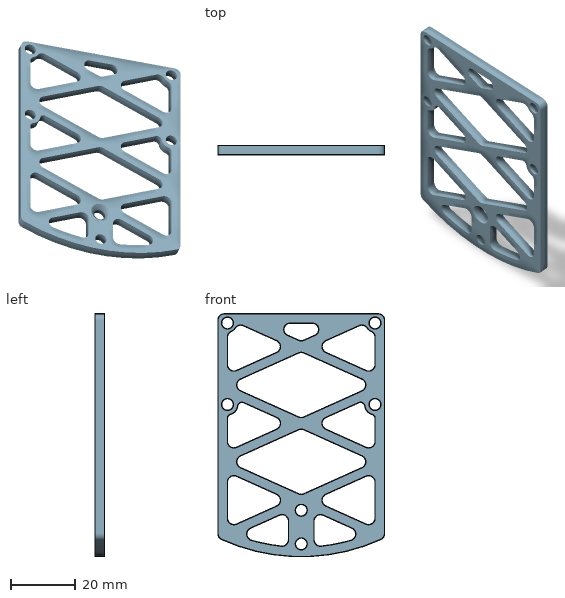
import cadquery as cq
import math

WIDTH = 52.0
HEIGHT = 75.8
THICKNESS = 3.0
BOTTOM_RADIUS = 60.0
CORNER_RADIUS = 2.0

BORDER = 3.0
BAR_WIDTH = 3.0
BAR_SLOPE = 0.45
CROSSING_PITCH = 23.95
FIRST_CROSSING_Z = -10.25
WINDOW_RADIUS = 2.0
SPINE_WIDTH = 8.0
TOP_WINDOW_WIDTH = 10.8
TOP_WINDOW_RADIUS = 1.9

HOLE_DIAMETER = 3.6
SIDE_HOLE_X = 23.0
UPPER_HOLE_Z = -2.9
MIDDLE_HOLE_Z = -28.3
UPPER_SPINE_HOLE_Z = -61.3
LOWER_SPINE_HOLE_Z = -71.8
COUNTERSINK_DIAMETER = 6.3

UPPER_PAD_RADIUS = 2.9
MIDDLE_PAD_RADIUS = 3.25
UPPER_PAD_BLEND = 2.0
MIDDLE_PAD_BLEND = 1.3
EDGE_SEARCH_MARGIN = 0.1

half_width = WIDTH / 2
window_edge_x = half_width - BORDER
half_bar_rise = BAR_WIDTH / 2 * math.hypot(1, BAR_SLOPE)
half_bar_run = half_bar_rise / BAR_SLOPE
crossing_zs = [FIRST_CROSSING_Z - i * CROSSING_PITCH for i in range(3)]
arc_center_z = BOTTOM_RADIUS - HEIGHT


def arc_z(radius, x):
    """Height of the lower arc of the given radius at x."""
    return arc_center_z - math.sqrt(radius**2 - x**2)


def prism(outline):
    """Extrude an XZ outline through the plate thickness."""
    return outline.extrude(THICKNESS / 2, both=True)


def sketch():
    """Start an outline in the mid-plane of the plate."""
    return cq.Workplane("XZ")


def rounded(body, radius=WINDOW_RADIUS):
    """Round all corners that run through the thickness."""
    return body.edges("|Y").fillet(radius)


def cylinder(x, z, radius):
    return prism(sketch().center(x, z).circle(radius))


def plate():
    side_end_z = arc_z(BOTTOM_RADIUS, half_width)
    outline = (
        sketch()
        .moveTo(-half_width, 0)
        .lineTo(half_width, 0)
        .lineTo(half_width, side_end_z)
        .threePointArc((0, -HEIGHT), (-half_width, side_end_z))
        .close()
    )
    return rounded(prism(outline), CORNER_RADIUS)


def diamond_window(upper_z, lower_z):
    """Diamond between two neighbouring bar crossings."""
    half_height = (upper_z - lower_z) / 2 - half_bar_rise
    half_length = half_height / BAR_SLOPE
    middle_z = (upper_z + lower_z) / 2
    outline = sketch().polyline([
        (0, middle_z + half_height),
        (half_length, middle_z),
        (0, middle_z - half_height),
        (-half_length, middle_z),
    ]).close()
    return rounded(prism(outline))


def side_window(crossing_z):
    """Sharp triangle between a bar crossing and the right border."""
    half_height = (window_edge_x - half_bar_run) * BAR_SLOPE
    outline = sketch().polyline([
        (half_bar_run, crossing_z),
        (window_edge_x, crossing_z + half_height),
        (window_edge_x, crossing_z - half_height),
    ]).close()
    return prism(outline)


def side_window_with_pad(crossing_z, hole_z, pad_radius, pad_blend):
    """Side window whose upper outer corner is cut back by a round pad kept around a screw hole."""
    pad = cylinder(SIDE_HOLE_X, hole_z, pad_radius)
    below_pad = side_window(crossing_z).cut(pad).solids("<Z")
    triangle_corners = below_pad.edges("|Y and (<X or <Z)")
    rounded_triangle = triangle_corners.fillet(WINDOW_RADIUS)
    return round_edges_near_pad(rounded_triangle, hole_z, pad_radius, pad_blend)


def round_edges_near_pad(body, hole_z, pad_radius, blend):
    """Round the through edges where the pad meets the straight window sides."""
    reach = pad_radius + EDGE_SEARCH_MARGIN
    zone = cq.selectors.BoxSelector(
        (SIDE_HOLE_X - reach, -THICKNESS, hole_z - reach),
        (SIDE_HOLE_X + reach, THICKNESS, hole_z + reach),
    )
    return body.edges("|Y").edges(zone).fillet(blend)


def top_window():
    half_top = TOP_WINDOW_WIDTH / 2
    tip_z = crossing_zs[0] + half_bar_rise
    outline = sketch().polyline([
        (0, tip_z),
        (half_top, tip_z + half_top * BAR_SLOPE),
        (half_top, -BORDER),
        (-half_top, -BORDER),
        (-half_top, tip_z + half_top * BAR_SLOPE),
    ]).close()
    return rounded(prism(outline), TOP_WINDOW_RADIUS)


def lower_window():
    """Window between the spine, the lowest bar and the curved border."""
    inner_radius = BOTTOM_RADIUS - BORDER
    inner_x = SPINE_WIDTH / 2
    bar_z = crossing_zs[-1] - half_bar_rise
    offset_z = bar_z - arc_center_z
    a = 1 + BAR_SLOPE**2
    b = -2 * BAR_SLOPE * offset_z
    c = offset_z**2 - inner_radius**2
    outer_x = (-b + math.sqrt(b**2 - 4 * a * c)) / (2 * a)
    middle_x = (inner_x + outer_x) / 2
    outline = (
        sketch()
        .moveTo(inner_x, bar_z - BAR_SLOPE * inner_x)
        .lineTo(outer_x, arc_z(inner_radius, outer_x))
        .threePointArc(
            (middle_x, arc_z(inner_radius, middle_x)),
            (inner_x, arc_z(inner_radius, inner_x)),
        )
        .close()
    )
    return rounded(prism(outline))


def all_windows():
    """Every lattice opening, left and right."""
    top_crossing, middle_crossing, bottom_crossing = crossing_zs
    right_windows = [
        side_window_with_pad(top_crossing, UPPER_HOLE_Z, UPPER_PAD_RADIUS, UPPER_PAD_BLEND),
        side_window_with_pad(middle_crossing, MIDDLE_HOLE_Z, MIDDLE_PAD_RADIUS, MIDDLE_PAD_BLEND),
        rounded(side_window(bottom_crossing)),
        lower_window(),
    ]
    left_windows = [window.mirror("YZ") for window in right_windows]
    central_windows = [
        top_window(),
        diamond_window(top_crossing, middle_crossing),
        diamond_window(middle_crossing, bottom_crossing),
    ]
    return central_windows + right_windows + left_windows


def screw_holes():
    centers = [(0, UPPER_SPINE_HOLE_Z), (0, LOWER_SPINE_HOLE_Z)]
    for z in (UPPER_HOLE_Z, MIDDLE_HOLE_Z):
        centers += [(-SIDE_HOLE_X, z), (SIDE_HOLE_X, z)]
    return [cylinder(x, z, HOLE_DIAMETER / 2) for x, z in centers]


def countersink():
    """90 degree cone on the back (+Y) face of the upper spine hole."""
    hole_radius = HOLE_DIAMETER / 2
    mouth_radius = COUNTERSINK_DIAMETER / 2
    depth = mouth_radius - hole_radius
    mouth_center = cq.Vector(0, THICKNESS / 2, UPPER_SPINE_HOLE_Z)
    cone = cq.Solid.makeCone(mouth_radius, hole_radius, depth, mouth_center, cq.Vector(0, -1, 0))
    return cq.Workplane(cone)


result = plate()
for opening in all_windows() + screw_holes():
    result = result.cut(opening)
result = result.cut(countersink())